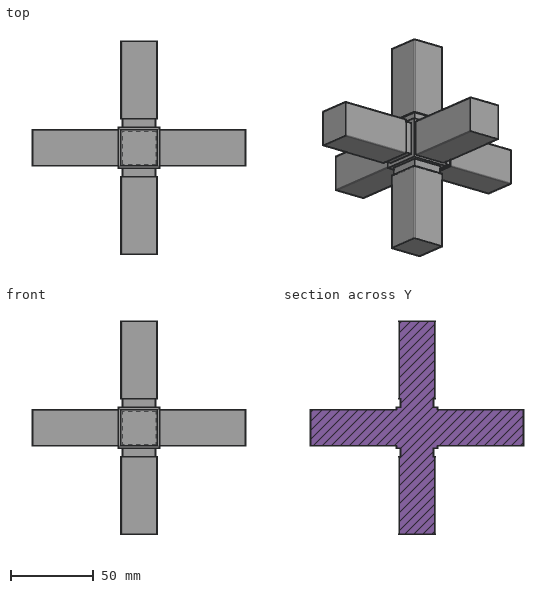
import cadquery as cq

overall_span = 129.0
hub_side = 25.0
plug_side = 22.0
plug_edge_radius = 0.5
neck_side = 20.0
neck_length = 5.0

hub_half = hub_side / 2
arm_length = overall_span / 2 - hub_half


def square_bar(side, start, length):
    """Square bar centred on the Z axis, rising from height start."""
    return cq.Workplane("XY").workplane(offset=start).rect(side, side).extrude(length)


def plug(start, length):
    """Square bar with rounded long edges."""
    return square_bar(plug_side, start, length).edges("|Z").fillet(plug_edge_radius)


def plain_arm():
    """Plug that meets the hub directly, pointing along +Z."""
    return plug(hub_half, arm_length)


def necked_arm():
    """Plug set off from the hub by a neck, pointing along +Z."""
    neck = square_bar(neck_side, hub_half, neck_length)
    return neck.union(plug(hub_half + neck_length, arm_length - neck_length))


def turned(arm, axis, angle):
    """Arm turned about an axis through the hub centre."""
    return arm.rotate((0, 0, 0), axis, angle)


x_axis = (1, 0, 0)
y_axis = (0, 1, 0)

result = cq.Workplane("XY").box(hub_side, hub_side, hub_side)

for angle in (0, 90, 180, 270):
    result = result.union(turned(necked_arm(), x_axis, angle))

for angle in (90, -90):
    result = result.union(turned(plain_arm(), y_axis, angle))